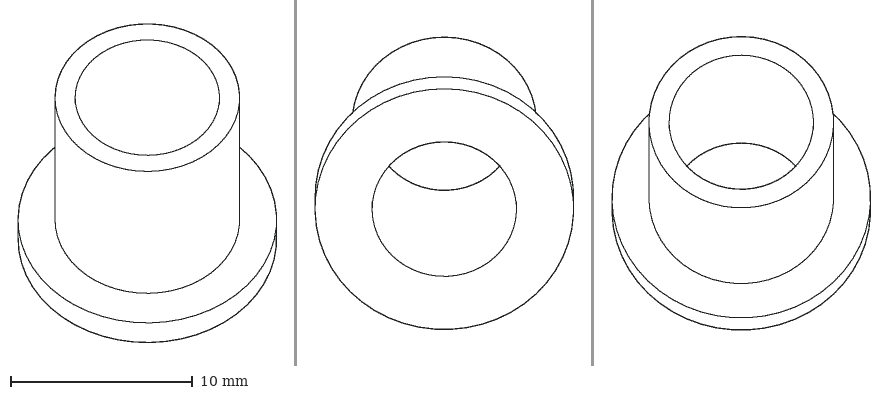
import cadquery as cq

flange_diameter = 14.22
flange_thickness = 1.8
sleeve_diameter = 10.15
bore_diameter = 7.93
overall_height = 12.95

flange = cq.Workplane("XY").circle(flange_diameter / 2).extrude(flange_thickness)
sleeve = cq.Workplane("XY").circle(sleeve_diameter / 2).extrude(overall_height)

bore = cq.Workplane("XY").circle(bore_diameter / 2).extrude(overall_height)

result = flange.union(sleeve).cut(bore)